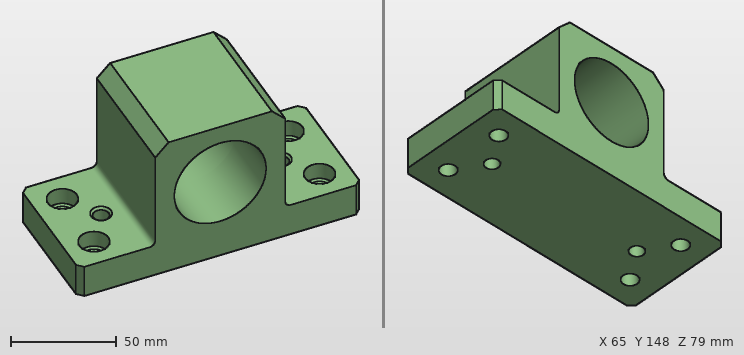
import cadquery as cq

width = 65.0
base_length = 148.0
base_height = 18.0
corner_chamfer = 3.0

total_height = 79.0
housing_length = 68.0
housing_chamfer = 7.0
root_fillet = 3.0
bore_diameter = 48.0
bore_height = 45.0

mount_spacing_x = 35.0
mount_spacing_y = 118.0
mount_diameter = 9.0
mount_chamfer = 0.8
counterbore_diameter = 15.0
counterbore_depth = 9.0

centre_spacing_y = 94.0
centre_diameter = 8.0
centre_chamfer = 1.2


def make_base():
    base = cq.Workplane("XY").box(width, base_length, base_height, centered=(True, True, False))
    return base.edges("|Z").chamfer(corner_chamfer)


def make_housing():
    housing = cq.Workplane("XY").box(width, housing_length, total_height, centered=(True, True, False))
    return housing.faces(">Z").edges("|X").chamfer(housing_chamfer)


def fillet_housing_roots(body):
    """Round the two inner corners where the housing walls meet the base."""
    for side in (-1, 1):
        root = cq.NearestToPointSelector((0, side * housing_length / 2, base_height))
        body = body.edges("|X").edges(root).fillet(root_fillet)
    return body


def make_bore():
    bore = cq.Workplane("YZ").center(0, bore_height).circle(bore_diameter / 2)
    return bore.extrude(width / 2, both=True)


def make_chamfered_hole(x, y, top, diameter, chamfer):
    """Cutter for a vertical hole from the underside up to top, with a 45 degree chamfer at its mouth."""
    radius = diameter / 2
    profile = (
        cq.Workplane("XZ")
        .lineTo(radius, 0)
        .lineTo(radius, top - chamfer)
        .lineTo(radius + chamfer, top)
        .lineTo(0, top)
        .close()
    )
    return profile.revolve(360, (0, 0, 0), (0, 1, 0)).translate((x, y, 0))


def make_mount_hole(x, y):
    floor = base_height - counterbore_depth
    counterbore = (
        cq.Workplane("XY", origin=(x, y, floor))
        .circle(counterbore_diameter / 2)
        .extrude(counterbore_depth)
    )
    return make_chamfered_hole(x, y, floor, mount_diameter, mount_chamfer).union(counterbore)


def cut_base_holes(body):
    for end in (-1, 1):
        centre_y = end * centre_spacing_y / 2
        body = body.cut(make_chamfered_hole(0, centre_y, base_height, centre_diameter, centre_chamfer))
        for side in (-1, 1):
            body = body.cut(make_mount_hole(side * mount_spacing_x / 2, end * mount_spacing_y / 2))
    return body


block = fillet_housing_roots(make_base().union(make_housing()))
result = cut_base_holes(block.cut(make_bore()))